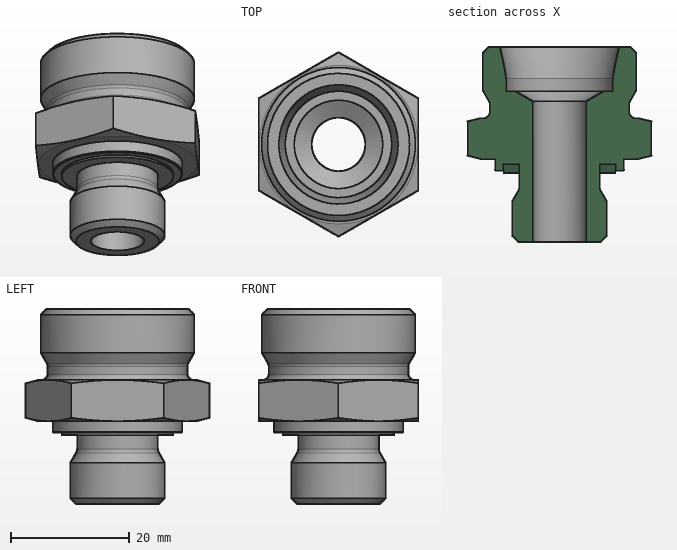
import cadquery as cq
import math

total_height = 33.0
stud_thread_top = 6.95
seal_bottom = 11.65
collar_bottom = 12.0
hex_bottom = 14.0
hex_top = 21.0
port_thread_bottom = 25.58

stud_diameter = 16.0
neck_diameter = 13.7
collar_diameter = 21.9
groove_diameter = 23.7
port_diameter = 26.0

end_chamfer = 1.0
collar_chamfer = 0.15
relief_angle = math.radians(30)
stud_relief_radius = 1.4
port_relief_radius = 1.12
groove_fillet = 1.0

hex_across_flats = 27.0
hex_chamfer_diameter = 26.8
hex_chamfer_angle = math.radians(15)

mouth_diameter = 20.15
socket_diameter = 18.0
socket_cone_depth = 5.3
socket_depth = 7.5
drill_cone_diameter = 14.95
through_diameter = 9.0
drill_cone_angle = math.radians(30)

seal_outer_diameter = 18.9
seal_inner_diameter = 13.8
seal_height = 1.5
seal_recess_diameter = 19.0
seal_top = seal_bottom + seal_height


def revolve_profile(profile):
    """Revolve a closed (radius, height) outline about the Z axis."""
    return profile.close().revolve(360, (0, 0, 0), (0, 1, 0))


def relief_points(core_radius, fillet_radius):
    """Radii and axial spans at the middle and end of a fillet blending into a run-out cone."""
    middle_radius = core_radius + fillet_radius * (1 - math.cos(relief_angle / 2))
    end_radius = core_radius + fillet_radius * (1 - math.cos(relief_angle))
    middle_span = fillet_radius * math.sin(relief_angle / 2)
    end_span = fillet_radius * math.sin(relief_angle)
    return middle_radius, end_radius, middle_span, end_span


def make_stud():
    """Lower threaded stud and its neck, reaching up into the hexagon."""
    radius = stud_diameter / 2
    neck_radius = neck_diameter / 2
    middle_radius, end_radius, middle_span, end_span = relief_points(neck_radius, stud_relief_radius)
    cone_top = stud_thread_top + (radius - end_radius) / math.tan(relief_angle)
    neck_bottom = cone_top + end_span
    profile = (
        cq.Workplane("XZ")
        .moveTo(0, 0)
        .lineTo(radius - end_chamfer, 0)
        .lineTo(radius, end_chamfer)
        .lineTo(radius, stud_thread_top)
        .lineTo(end_radius, cone_top)
        .threePointArc((middle_radius, neck_bottom - middle_span), (neck_radius, neck_bottom))
        .lineTo(neck_radius, hex_bottom)
        .lineTo(0, hex_bottom)
    )
    return revolve_profile(profile)


def make_collar():
    """Round collar under the hexagon, with a recess for the sealing ring."""
    collar = (
        cq.Workplane("XY", origin=(0, 0, collar_bottom))
        .circle(collar_diameter / 2)
        .extrude(hex_bottom - collar_bottom)
        .faces("<Z")
        .chamfer(collar_chamfer)
    )
    recess = (
        cq.Workplane("XY", origin=(0, 0, collar_bottom))
        .circle(seal_recess_diameter / 2)
        .circle(neck_diameter / 2)
        .extrude(seal_top - collar_bottom)
    )
    return collar.cut(recess)


def make_hexagon():
    """Hexagon with conically chamfered corners on both faces."""
    corner_diameter = hex_across_flats / math.cos(math.pi / 6)
    corner_radius = corner_diameter / 2
    chamfer_radius = hex_chamfer_diameter / 2
    corner_drop = (corner_radius - chamfer_radius) * math.tan(hex_chamfer_angle)
    prism = (
        cq.Workplane("XY", origin=(0, 0, hex_bottom))
        .transformed(rotate=(0, 0, 90))
        .polygon(6, corner_diameter)
        .extrude(hex_top - hex_bottom)
    )
    envelope = (
        cq.Workplane("XZ")
        .moveTo(0, hex_bottom)
        .lineTo(chamfer_radius, hex_bottom)
        .lineTo(corner_radius, hex_bottom + corner_drop)
        .lineTo(corner_radius, hex_top - corner_drop)
        .lineTo(chamfer_radius, hex_top)
        .lineTo(0, hex_top)
    )
    return prism.intersect(revolve_profile(envelope))


def make_port():
    """Upper threaded port with its relief groove above the hexagon."""
    radius = port_diameter / 2
    groove_radius = groove_diameter / 2
    middle_radius, end_radius, middle_span, end_span = relief_points(groove_radius, port_relief_radius)
    cone_bottom = port_thread_bottom - (radius - end_radius) / math.tan(relief_angle)
    groove_top = cone_bottom - end_span
    fillet_inset = groove_fillet * (1 - math.sqrt(0.5))
    profile = (
        cq.Workplane("XZ")
        .moveTo(0, hex_top)
        .lineTo(groove_radius + groove_fillet, hex_top)
        .threePointArc(
            (groove_radius + fillet_inset, hex_top + fillet_inset),
            (groove_radius, hex_top + groove_fillet),
        )
        .lineTo(groove_radius, groove_top)
        .threePointArc((middle_radius, groove_top + middle_span), (end_radius, cone_bottom))
        .lineTo(radius, port_thread_bottom)
        .lineTo(radius, total_height - end_chamfer)
        .lineTo(radius - end_chamfer, total_height)
        .lineTo(0, total_height)
    )
    return revolve_profile(profile)


def make_bore():
    """Tapered socket, cylindrical seat, drill cone and through hole."""
    socket_floor = total_height - socket_depth
    drill_cone_depth = (drill_cone_diameter - through_diameter) / 2 * math.tan(drill_cone_angle)
    profile = (
        cq.Workplane("XZ")
        .moveTo(0, 0)
        .lineTo(through_diameter / 2, 0)
        .lineTo(through_diameter / 2, socket_floor - drill_cone_depth)
        .lineTo(drill_cone_diameter / 2, socket_floor)
        .lineTo(socket_diameter / 2, socket_floor)
        .lineTo(socket_diameter / 2, total_height - socket_cone_depth)
        .lineTo(mouth_diameter / 2, total_height)
        .lineTo(0, total_height)
    )
    return revolve_profile(profile)


def make_fitting():
    """Complete fitting body."""
    outside = make_stud().union(make_collar()).union(make_hexagon()).union(make_port())
    return outside.cut(make_bore()).solids()


def make_seal():
    """Flat sealing ring seated in the collar recess."""
    return (
        cq.Workplane("XY", origin=(0, 0, seal_bottom))
        .circle(seal_outer_diameter / 2)
        .circle(seal_inner_diameter / 2)
        .extrude(seal_height)
    )


fitting = make_fitting()
seal = make_seal()
result = cq.Compound.makeCompound([fitting.val(), seal.val()])